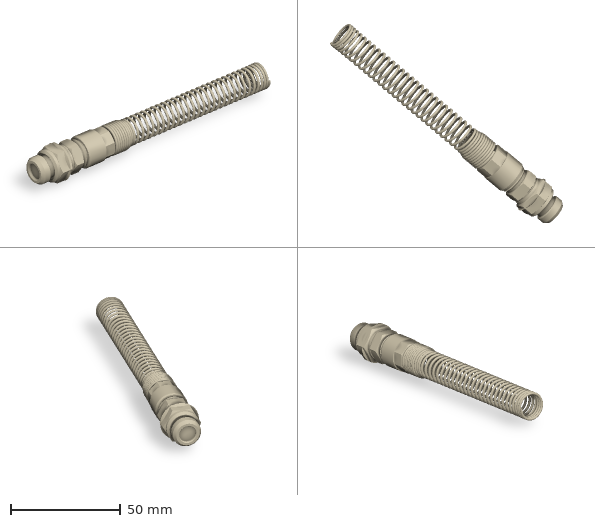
import cadquery as cq
import math

TOTAL_LENGTH = 134.0

THREAD_RADIUS = 6.7
NECK_RADIUS = 5.5
FLANGE_RADIUS = 7.9
COLLAR_RADIUS = 7.4
WAIST_RADIUS = 6.2
LIP_RADIUS = 7.1
JOINT_GROOVE_RADIUS = 6.4
RELIEF_RADIUS = 6.8
SLEEVE_RADIUS = 7.9
SLEEVE_CHAMFER_RADIUS = 7.5
DISC_RADIUS = 9.2

THREAD_TIP_CHAMFER_Y = 1.6
THREAD_END_Y = 5.0
FLANGE_START_Y = 7.1
FLANGE_CHAMFER_END_Y = 7.9
LARGE_HEX_START_Y = 9.4
DISC_CONE_START_Y = 13.4
DISC_END_Y = 14.2
LARGE_HEX_END_Y = 16.5
RELIEF_START_Y = 17.8
SMALL_HEX_START_Y = 18.2
SMALL_HEX_END_Y = 23.6
LIP_CONE_START_Y = 24.7
LIP_START_Y = 25.5
JOINT_GROOVE_START_Y = 25.9
JOINT_GROOVE_END_Y = 26.7
SLEEVE_START_Y = 27.5
SLEEVE_END_Y = 36.5
OCTAGON_END_Y = 42.2

LARGE_HEX_FLATS = 15.8
SMALL_HEX_FLATS = 14.1
OCTAGON_FLATS = 14.1
FLAT_CHAMFER_ANGLE = 30.0
THREAD_TIP_CHAMFER = 1.2
THREAD_BACK_CHAMFER = 0.4
OCTAGON_CHAMFER_RADIUS = 6.8
BORE_RADIUS = 3.9
BORE_MOUTH_RADIUS = 4.3
BORE_CHAMFER_LENGTH = 0.4
BORE_DEPTH = 1.3

O_RING_WIRE_RADIUS = 0.6
RECESS_RADIUS = NECK_RADIUS + 2 * O_RING_WIRE_RADIUS
RECESS_DEPTH = 1.7

WIRE_RADIUS = 0.6
COIL_RADIUS = 6.0
FLARE_COIL_RADIUS = 6.8
CLOSED_PITCH = 1.22
FLARE_TURNS = 6.4
TAPER_TURNS = 2.0
CLOSED_BASE_TURNS = 9.4
BASE_RAMP_TURNS = 1.0
OPEN_TURNS = 21.6
TIP_RAMP_TURNS = 5.4
CLOSED_TIP_TURNS = 1.0
POINTS_PER_TURN = 16
SPRING_LENGTHS = 8


def revolve_about_y(outline):
    """Solid of revolution about Y from (radius, y) points."""
    return cq.Workplane("XY").polyline(outline).close().revolve(360, (0, 0, 0), (0, 1, 0))


def prism(sides, across_flats, start_y, end_y, turn):
    """Regular prism along Y; `turn` rotates it about Y in degrees from a corner on X."""
    corner_diameter = across_flats / math.cos(math.pi / sides)
    section = cq.Workplane("XZ", origin=(0, start_y, 0)).polygon(sides, corner_diameter)
    return section.extrude(start_y - end_y).rotate((0, 0, 0), (0, 1, 0), turn)


def wrench_section(sides, across_flats, start_y, end_y, start_radius, end_radius, turn=0):
    """Prism whose corners are turned off by cones that leave each end with the given radius."""
    corner_radius = across_flats / 2 / math.cos(math.pi / sides)
    slope = math.tan(math.radians(FLAT_CHAMFER_ANGLE))
    envelope = revolve_about_y(
        [
            (0, start_y),
            (start_radius, start_y),
            (corner_radius, start_y + (corner_radius - start_radius) * slope),
            (corner_radius, end_y - (corner_radius - end_radius) * slope),
            (end_radius, end_y),
            (0, end_y),
        ]
    )
    return prism(sides, across_flats, start_y, end_y, turn).intersect(envelope)


def make_turned_core():
    """All the round steps of the fitting as one turned outline."""
    return revolve_about_y(
        [
            (0, 0),
            (THREAD_RADIUS - THREAD_TIP_CHAMFER, 0),
            (THREAD_RADIUS, THREAD_TIP_CHAMFER_Y),
            (THREAD_RADIUS, THREAD_END_Y - THREAD_BACK_CHAMFER),
            (THREAD_RADIUS - THREAD_BACK_CHAMFER, THREAD_END_Y),
            (NECK_RADIUS, THREAD_END_Y),
            (NECK_RADIUS, FLANGE_START_Y + RECESS_DEPTH),
            (RECESS_RADIUS, FLANGE_START_Y + RECESS_DEPTH),
            (RECESS_RADIUS, FLANGE_START_Y),
            (FLANGE_RADIUS, FLANGE_CHAMFER_END_Y),
            (FLANGE_RADIUS, LARGE_HEX_START_Y),
            (COLLAR_RADIUS, LARGE_HEX_START_Y),
            (COLLAR_RADIUS, RELIEF_START_Y),
            (RELIEF_RADIUS, RELIEF_START_Y),
            (RELIEF_RADIUS, SMALL_HEX_START_Y),
            (WAIST_RADIUS, SMALL_HEX_START_Y),
            (WAIST_RADIUS, LIP_CONE_START_Y),
            (LIP_RADIUS, LIP_START_Y),
            (JOINT_GROOVE_RADIUS, JOINT_GROOVE_START_Y),
            (JOINT_GROOVE_RADIUS, JOINT_GROOVE_END_Y),
            (SLEEVE_CHAMFER_RADIUS, JOINT_GROOVE_END_Y),
            (SLEEVE_RADIUS, SLEEVE_START_Y),
            (SLEEVE_RADIUS, SLEEVE_END_Y),
            (0, SLEEVE_END_Y),
        ]
    )


def make_disc():
    """Thin disc around the large hexagon, coned on the flange side."""
    return revolve_about_y(
        [
            (0, DISC_CONE_START_Y),
            (LARGE_HEX_FLATS / 2, DISC_CONE_START_Y),
            (DISC_RADIUS, DISC_END_Y),
            (0, DISC_END_Y),
        ]
    )


def make_bore():
    """Shallow blind bore with a chamfered mouth in the threaded end."""
    return revolve_about_y(
        [
            (0, 0),
            (BORE_MOUTH_RADIUS, 0),
            (BORE_RADIUS, BORE_CHAMFER_LENGTH),
            (BORE_RADIUS, BORE_DEPTH),
            (0, BORE_DEPTH),
        ]
    )


def make_fitting():
    """Threaded spigot, flange, wrench sections and sleeve in one piece."""
    core = make_turned_core()
    large_hex = wrench_section(
        6, LARGE_HEX_FLATS, LARGE_HEX_START_Y, LARGE_HEX_END_Y, LARGE_HEX_FLATS / 2, COLLAR_RADIUS
    )
    small_hex = wrench_section(
        6, SMALL_HEX_FLATS, SMALL_HEX_START_Y, SMALL_HEX_END_Y, RELIEF_RADIUS, SMALL_HEX_FLATS / 2
    )
    octagon = wrench_section(
        8, OCTAGON_FLATS, SLEEVE_END_Y, OCTAGON_END_Y, SLEEVE_RADIUS, OCTAGON_CHAMFER_RADIUS, 180 / 8
    )
    return core.union(large_hex).union(small_hex).union(octagon).union(make_disc()).cut(make_bore())


def make_o_ring():
    """Round sealing ring at the bottom of the flange recess."""
    centre_radius = NECK_RADIUS + O_RING_WIRE_RADIUS
    centre_y = FLANGE_START_Y + RECESS_DEPTH - O_RING_WIRE_RADIUS
    section = cq.Workplane("XY").center(centre_radius, centre_y).circle(O_RING_WIRE_RADIUS)
    return section.revolve(360, (-centre_radius, 0, 0), (-centre_radius, 1, 0))


SPRING_BASE_Y = OCTAGON_END_Y + WIRE_RADIUS
SPRING_RISE = TOTAL_LENGTH - WIRE_RADIUS - SPRING_BASE_Y

HALF_RAMP_TURNS = (BASE_RAMP_TURNS + TIP_RAMP_TURNS) / 2
CLOSED_SHARE = CLOSED_BASE_TURNS + CLOSED_TIP_TURNS + HALF_RAMP_TURNS
OPEN_PITCH = (SPRING_RISE - CLOSED_PITCH * CLOSED_SHARE) / (OPEN_TURNS + HALF_RAMP_TURNS)

BASE_RAMP_END = CLOSED_BASE_TURNS + BASE_RAMP_TURNS
TIP_RAMP_START = BASE_RAMP_END + OPEN_TURNS
TOTAL_TURNS = TIP_RAMP_START + TIP_RAMP_TURNS + CLOSED_TIP_TURNS


def extra_rise(turns_since_start, ramp_turns):
    """Rise gained over the closed pitch since a ramp to the open pitch began."""
    on_ramp = min(max(turns_since_start, 0), ramp_turns)
    after_ramp = max(turns_since_start - ramp_turns, 0)
    return (OPEN_PITCH - CLOSED_PITCH) * (on_ramp**2 / (2 * ramp_turns) + after_ramp)


def wire_centre(turn):
    """Centre of the spring wire after `turn` turns from the fitting."""
    gained = extra_rise(turn - CLOSED_BASE_TURNS, BASE_RAMP_TURNS)
    lost = extra_rise(turn - TIP_RAMP_START, TIP_RAMP_TURNS)
    y = SPRING_BASE_Y + CLOSED_PITCH * turn + gained - lost
    taper = min(max((turn - FLARE_TURNS) / TAPER_TURNS, 0), 1)
    radius = FLARE_COIL_RADIUS + (COIL_RADIUS - FLARE_COIL_RADIUS) * taper
    angle = 2 * math.pi * (turn - TOTAL_TURNS)
    return cq.Vector(radius * math.cos(angle), y, radius * math.sin(angle))


def make_spring():
    """Round wire swept along a coil that is closed at both ends and flared at the fitting."""
    steps = round(TOTAL_TURNS * POINTS_PER_TURN)
    turns = [TOTAL_TURNS * step / steps for step in range(steps + 1)]
    points = [wire_centre(turn) for turn in turns]
    centre_line = cq.Edge.makeSpline(points, parameters=turns)
    cuts = [TOTAL_TURNS * step / SPRING_LENGTHS for step in range(SPRING_LENGTHS + 1)]
    lengths = [centre_line.trim(start, end) for start, end in zip(cuts, cuts[1:])]
    path = cq.Workplane(obj=cq.Wire.assembleEdges(lengths))
    start_plane = cq.Plane(origin=points[0], xDir=(0, 1, 0), normal=centre_line.tangentAt(0))
    return cq.Workplane(start_plane).circle(WIRE_RADIUS).sweep(path, isFrenet=True)


fitting = make_fitting()
o_ring = make_o_ring()
spring = make_spring()

result = cq.Compound.makeCompound([fitting.val(), o_ring.val(), spring.val()])